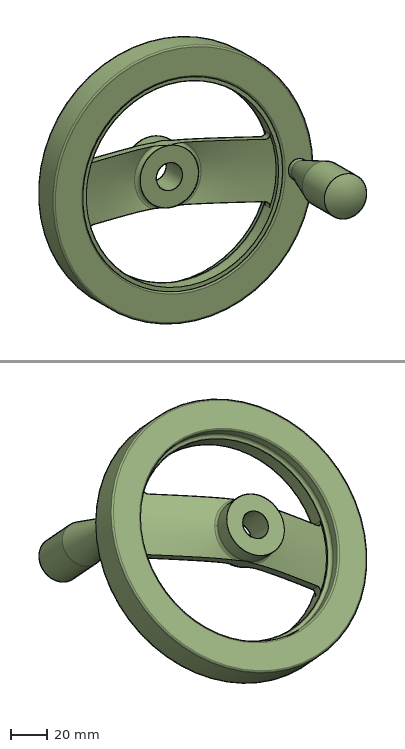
import cadquery as cq

rim_diameter = 160.0
rim_start = 19.0
rim_width = 20.0
rim_end = rim_start + rim_width
rim_edge_radius = 1.0
recess_diameter = 123.4
opening_diameter = 118.5
recess_corner_radius = 2.0
lip_start = 27.0
lip_end = 37.5

hub_diameter = 36.0
bore_diameter = 16.0
hub_end = 21.0
hub_fillet = 1.8
spoke_width = hub_diameter
spoke_start = 11.8
spoke_slope = 0.4
spoke_thickness = 6.0
root_search = 0.8
window_corner_radius = 2.5

handle_offset = 70.8
handle_neck_diameter = 12.5
handle_diameter = 26.0
neck_end = 43.0
taper_end = 71.0
grip_end = 99.0
handle_end = 103.0

hub_radius = hub_diameter / 2


def cylinder(diameter, start, end):
    """Solid cylinder about the X axis."""
    return cq.Workplane("YZ", origin=(start, 0, 0)).circle(diameter / 2).extrude(end - start)


def revolve_about_x(profile):
    return profile.close().revolve(360, (0, 0, 0), (1, 0, 0))


def make_rim():
    """Ring with rounded edges, recessed on both sides of an inner lip."""
    rim = cylinder(rim_diameter, rim_start, rim_end)
    front_recess = cylinder(recess_diameter, rim_start, lip_start)
    back_recess = cylinder(recess_diameter, lip_end, rim_end)
    rim = rim.cut(front_recess.faces(">X").edges().fillet(recess_corner_radius))
    rim = rim.cut(cylinder(opening_diameter, lip_start, lip_end))
    rim = rim.cut(back_recess)
    return rim.faces("<X or >X").edges().fillet(rim_edge_radius)


def make_web():
    """Full conical disc running from the bore out into the rim lip."""
    outer_radius = (opening_diameter + recess_diameter) / 4
    inner_radius = bore_diameter / 2
    drop = spoke_slope * (outer_radius - hub_radius)
    rise = spoke_slope * (hub_radius - inner_radius)
    return revolve_about_x(
        cq.Workplane("XY")
        .moveTo(spoke_start - rise, inner_radius)
        .lineTo(spoke_start + drop, outer_radius)
        .lineTo(spoke_start + drop + spoke_thickness, outer_radius)
        .lineTo(spoke_start - rise + spoke_thickness, inner_radius)
    )


def make_windows():
    """Round-cornered openings that leave a straight pair of spokes."""
    bar = cq.Workplane("YZ").rect(rim_diameter, spoke_width).extrude(rim_end)
    windows = cylinder(opening_diameter, 0, rim_end).cut(bar)
    return windows.edges("|X").fillet(window_corner_radius)


def make_hub_and_spokes():
    """Hub blended into both faces of the web, then cut to two spokes."""
    wheel_center = cylinder(hub_diameter, 0, hub_end).union(make_web())
    root_box = cq.selectors.BoxSelector(
        (spoke_start - root_search, -hub_diameter, -hub_diameter),
        (spoke_start + spoke_thickness + root_search, hub_diameter, hub_diameter),
        boundingbox=True,
    )
    wheel_center = wheel_center.edges("%CIRCLE").edges(root_box).fillet(hub_fillet)
    return wheel_center.cut(make_windows())


def make_handle():
    """Turned crank handle: neck, taper, grip and domed end."""
    neck_radius = handle_neck_diameter / 2
    grip_radius = handle_diameter / 2
    dome_height = handle_end - grip_end
    dome_radius = (grip_radius**2 + dome_height**2) / (2 * dome_height)
    handle = revolve_about_x(
        cq.Workplane("XY")
        .moveTo(lip_end, 0)
        .lineTo(lip_end, neck_radius)
        .lineTo(neck_end, neck_radius)
        .lineTo(taper_end, grip_radius)
        .lineTo(grip_end, grip_radius)
        .radiusArc((handle_end, 0), dome_radius)
    )
    return handle.translate((0, handle_offset, 0))


bore = cylinder(bore_diameter, 0, rim_end)
result = make_rim().union(make_hub_and_spokes()).cut(bore).union(make_handle())